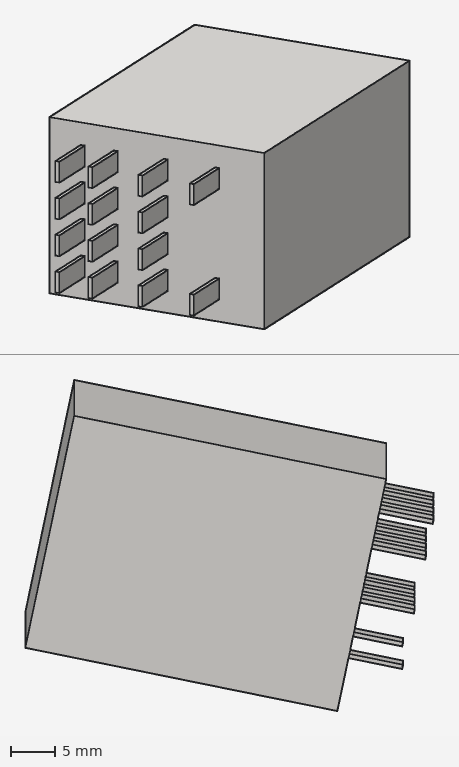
import cadquery as cq

body_width = 27.2
body_height = 21.0
total_length = 42.2
pin_length = 6.3
body_length = total_length - pin_length

pin_thickness = 0.5
pin_height = 2.5
row_pitch = 4.4
row_count = 4
full_columns = [4.25, 8.45, 14.75]
outer_column = 21.25

row_heights = [(row - (row_count - 1) / 2) * row_pitch for row in range(row_count)]


def pins(column, heights):
    """Blades of one column, extending from the front face toward -Y."""
    x = column - body_width / 2
    return (
        cq.Workplane("XZ")
        .pushPoints([(x, z) for z in heights])
        .rect(pin_thickness, pin_height)
        .extrude(pin_length)
    )


result = cq.Workplane("XY").box(
    body_width, body_length, body_height, centered=(True, False, True)
)

for column in full_columns:
    result = result.union(pins(column, row_heights))

result = result.union(pins(outer_column, [row_heights[0], row_heights[-1]]))